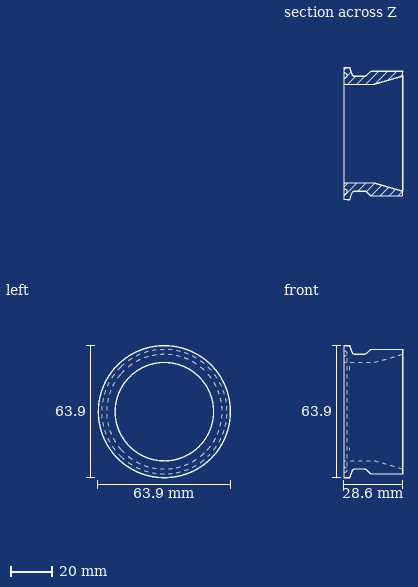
import cadquery as cq
import math

length = 28.55
flange_radius = 63.9 / 2
neck_radius = 55.65 / 2
body_radius = 60.3 / 2
bore_radius = 47.5 / 2

rim_width = 2.9
rim_fillet = 0.25
flange_back_angle = 20
neck_fillet = 1.1

shoulder_start = 10.7
shoulder_angle = 45
shoulder_fillet = 1.4

flare_start = 14.5
flare_radius = 27.8
end_fillet = 0.2

groove_radius = 28.1
groove_depth = 1.55
groove_half_width = 1.4
groove_flank_angle = 20
groove_edge_fillet = 0.5
bore_edge_fillet = 0.75


def ring_edge(x, radius):
    """Select the circular edge at the given axial place and radius."""
    margin = 0.01
    reach = radius + margin
    return cq.selectors.BoxSelector(
        (x - margin, -reach, -reach), (x + margin, reach, reach), boundingbox=True
    ) - cq.selectors.BoxSelector(
        (x - margin, margin - radius, margin - radius),
        (x + margin, radius - margin, radius - margin),
        boundingbox=True,
    )


def revolve_about_x(profile):
    return profile.close().revolve(360, (0, 0, 0), (1, 0, 0))


def make_sleeve():
    neck_start = rim_width + (flange_radius - neck_radius) * math.tan(math.radians(flange_back_angle))
    shoulder_end = shoulder_start + (body_radius - neck_radius) / math.tan(math.radians(shoulder_angle))
    sleeve = revolve_about_x(
        cq.Workplane("XY")
        .moveTo(0, bore_radius)
        .lineTo(0, flange_radius)
        .lineTo(rim_width, flange_radius)
        .lineTo(neck_start, neck_radius)
        .lineTo(shoulder_start, neck_radius)
        .lineTo(shoulder_end, body_radius)
        .lineTo(length, body_radius)
        .lineTo(length, flare_radius)
        .lineTo(flare_start, bore_radius)
    )
    rounded_edges = [
        (rim_width, flange_radius, rim_fillet),
        (neck_start, neck_radius, neck_fillet),
        (shoulder_start, neck_radius, shoulder_fillet),
        (shoulder_end, body_radius, shoulder_fillet),
        (length, body_radius, end_fillet),
        (0, bore_radius, bore_edge_fillet),
    ]
    for x, radius, fillet in rounded_edges:
        sleeve = sleeve.edges(ring_edge(x, radius)).fillet(fillet)
    return sleeve


def cut_gasket_groove(sleeve):
    angle = math.radians(groove_flank_angle)
    flank_gap = groove_half_width - groove_depth * math.tan(angle)
    floor_arc_radius = flank_gap / (math.cos(angle) - math.tan(angle) * (1 - math.sin(angle)))
    floor_half_width = floor_arc_radius * math.cos(angle)
    flank_depth = groove_depth - floor_arc_radius * (1 - math.sin(angle))
    inner_radius = groove_radius - groove_half_width
    outer_radius = groove_radius + groove_half_width

    cutter = revolve_about_x(
        cq.Workplane("XY")
        .moveTo(0, inner_radius)
        .lineTo(flank_depth, groove_radius - floor_half_width)
        .threePointArc((groove_depth, groove_radius), (flank_depth, groove_radius + floor_half_width))
        .lineTo(0, outer_radius)
    )
    sleeve = sleeve.cut(cutter)
    for radius in (inner_radius, outer_radius):
        sleeve = sleeve.edges(ring_edge(0, radius)).fillet(groove_edge_fillet)
    return sleeve


result = cut_gasket_groove(make_sleeve())